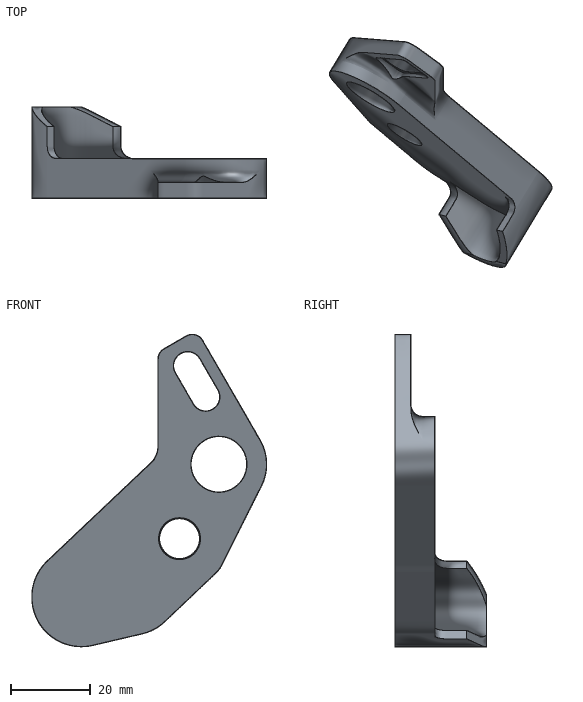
import cadquery as cq
import math

arm_thickness = 10.0
tab_thickness = 4.0
end_center = (12.5, 12.5)
end_radius = 12.5
pivot_center = (47.0, 45.8)
pivot_radius = 12.0
lower_corner = (31.0, 4.0)
side_corner = (47.15, 19.4)
lower_corner_radius = 12.0
side_corner_radius = 6.0

tab_left = 31.7
tab_edge_angle = 30
tab_round_radius = 3.0
overall_height = 78.45
tab_round_center = (40.3, overall_height - tab_round_radius)
tab_corner_radius = 6.0
step_fillet = 3.0

pivot_hole_radius = 7.0
pin_center = (37.1, 27.15)
pin_radius = 5.0
pin_chamfer = 0.2
slot_start = (39.15, 70.5)
slot_length = 9.0
slot_radius = 3.5
pocket_half_width = 4.2
pocket_corner_radius = 1.5
pocket_floor = 3.0

rim_height = 23.0
rim_thickness = 2.5
rim_slope_run = 8.6
rim_slope_angle = 30
rim_fillet = 3.0
reach = 156.9


def polar(center, radius, degrees):
    angle = math.radians(degrees)
    return (center[0] + radius * math.cos(angle), center[1] + radius * math.sin(angle))


def heading(start, end):
    """Direction from start to end, in degrees."""
    return math.degrees(math.atan2(end[1] - start[1], end[0] - start[0]))


def tangent_normal(center, radius, point, side):
    """Direction from a circle's center to where a tangent through point touches it."""
    spread = math.degrees(math.acos(radius / math.dist(center, point)))
    return heading(center, point) + side * spread


def extrude_back(profile, thickness):
    """Extrude an XZ profile towards +Y."""
    return profile.extrude(-thickness)


center_distance = math.dist(end_center, pivot_center)
taper = math.degrees(math.asin((end_radius - pivot_radius) / center_distance))
arm_angle = heading(end_center, pivot_center) - taper
arm_normal = arm_angle + 90
arm_start = polar(end_center, end_radius, arm_normal)
arm_end = polar(pivot_center, pivot_radius, arm_normal)
edge_start = polar(pivot_center, pivot_radius, tab_edge_angle)

slot_angle = tab_edge_angle - 90
slot_middle = polar(slot_start, slot_length / 2, slot_angle)


def arm_outline():
    """Outline with sharp corners and round ends, and the three corners of the tab."""
    lower_normal = tangent_normal(end_center, end_radius, lower_corner, -1)
    side_normal = tangent_normal(pivot_center, pivot_radius, side_corner, 1)
    side_middle = (tab_edge_angle + side_normal) / 2
    end_middle = (arm_normal + lower_normal + 360) / 2

    inner_corner_z = arm_start[1] + (tab_left - arm_start[0]) * math.tan(math.radians(arm_angle))
    top_normal = tab_edge_angle + 90
    top_start = polar(tab_round_center, tab_round_radius, top_normal)
    top_slope = math.tan(math.radians(tab_edge_angle))
    left_corner_z = top_start[1] - (top_start[0] - tab_left) * top_slope
    edge_direction = math.radians(top_normal)
    edge_length = (
        (tab_round_center[0] - edge_start[0]) * math.cos(edge_direction)
        + (tab_round_center[1] - edge_start[1]) * math.sin(edge_direction)
        + tab_round_radius
    )
    top_corner = polar(edge_start, edge_length, top_normal)

    profile = (
        cq.Workplane("XZ")
        .moveTo(*arm_start)
        .lineTo(tab_left, inner_corner_z)
        .lineTo(tab_left, left_corner_z)
        .lineTo(*top_corner)
        .lineTo(*edge_start)
        .threePointArc(
            polar(pivot_center, pivot_radius, side_middle),
            polar(pivot_center, pivot_radius, side_normal),
        )
        .lineTo(*side_corner)
        .lineTo(*lower_corner)
        .lineTo(*polar(end_center, end_radius, lower_normal))
        .threePointArc(polar(end_center, end_radius, end_middle), arm_start)
        .close()
    )
    return profile, (tab_left, inner_corner_z), (tab_left, left_corner_z), top_corner


def outline_prism(thickness):
    """Outline with its corners rounded, extruded back from the front face."""
    profile, inner_corner, left_corner, top_corner = arm_outline()
    body = extrude_back(profile, thickness)
    rounds = [
        (inner_corner, tab_corner_radius),
        (left_corner, tab_round_radius),
        (top_corner, tab_round_radius),
        (side_corner, side_corner_radius),
        (lower_corner, lower_corner_radius),
    ]
    for (x, z), radius in rounds:
        corner_edge = cq.selectors.NearestToPointSelector((x, thickness / 2, z))
        body = body.edges("|Y").edges(corner_edge).fillet(radius)
    return body


def stepped_slab():
    """Tab-thick slab carrying the full-thickness arm, filleted along the step."""
    far_left = polar(arm_start, -reach, arm_angle)
    far_right = polar(edge_start, reach, tab_edge_angle - 90)
    arc_middle = polar(pivot_center, pivot_radius, (arm_normal + tab_edge_angle) / 2)
    thick = extrude_back(
        cq.Workplane("XZ")
        .moveTo(*far_left)
        .lineTo(*arm_end)
        .threePointArc(arc_middle, edge_start)
        .lineTo(*far_right)
        .close(),
        arm_thickness,
    )
    slab = extrude_back(cq.Workplane("XZ").rect(4 * reach, 4 * reach), tab_thickness)
    step_edge = cq.selectors.NearestToPointSelector((arc_middle[0], tab_thickness, arc_middle[1]))
    return slab.union(thick).edges(step_edge).fillet(step_fillet)


def rim():
    """Wall along the outline, ending square to the arm with a sloped top and a filleted foot."""
    outer = outline_prism(rim_height)
    inner_wire = outer.faces("<Y").wires().val().offset2D(-rim_thickness)[0]
    cavity = cq.Solid.extrudeLinear(inner_wire, [], cq.Vector(0, rim_height, 0))
    wall = outer.cut(cq.Workplane(cavity))

    along = math.radians(arm_angle)
    side_plane = cq.Plane(
        origin=(end_center[0], 0, end_center[1]),
        xDir=(math.cos(along), 0, math.sin(along)),
        normal=(-math.sin(along), 0, math.cos(along)),
    )
    shoulder = rim_height - rim_slope_run * math.tan(math.radians(rim_slope_angle))
    foot = arm_thickness + rim_fillet
    arc_offset = rim_fillet * (1 - math.sqrt(0.5))
    side = (
        cq.Workplane(side_plane)
        .moveTo(-reach, 0)
        .lineTo(-reach, rim_height)
        .lineTo(-rim_slope_run, rim_height)
        .lineTo(0, shoulder)
        .lineTo(0, foot)
        .threePointArc((arc_offset, arm_thickness + arc_offset), (rim_fillet, arm_thickness))
        .lineTo(rim_fillet, 0)
        .close()
        .extrude(end_radius + rim_fillet, both=True)
    )
    return wall.intersect(side)


def slot_pocket():
    """Rounded rectangular recess around the slot, sunk into the back of the tab."""
    pocket = (
        cq.Workplane("XZ")
        .rect(slot_length + 2 * pocket_half_width, 2 * pocket_half_width)
        .extrude(-rim_height)
        .edges("|Y")
        .fillet(pocket_corner_radius)
    )
    pocket = pocket.rotate((0, 0, 0), (0, -1, 0), slot_angle)
    return pocket.translate((slot_middle[0], pocket_floor, slot_middle[1]))


def holes():
    pivot_hole = cq.Workplane("XZ").center(*pivot_center).circle(pivot_hole_radius)
    pin_hole = cq.Workplane("XZ").center(*pin_center).circle(pin_radius)
    pin_mouth = cq.Solid.makeCone(
        pin_radius + pin_chamfer,
        pin_radius,
        pin_chamfer,
        pnt=cq.Vector(pin_center[0], 0, pin_center[1]),
        dir=cq.Vector(0, 1, 0),
    )
    cuts = extrude_back(pivot_hole, rim_height)
    cuts = cuts.union(extrude_back(pin_hole, rim_height))
    slot = (
        cq.Workplane("XZ")
        .center(*slot_middle)
        .slot2D(slot_length + 2 * slot_radius, 2 * slot_radius, slot_angle)
    )
    cuts = cuts.union(extrude_back(slot, rim_height))
    return cuts.union(cq.Workplane(pin_mouth))


arm = outline_prism(arm_thickness).intersect(stepped_slab())
result = arm.union(rim()).cut(holes()).cut(slot_pocket())